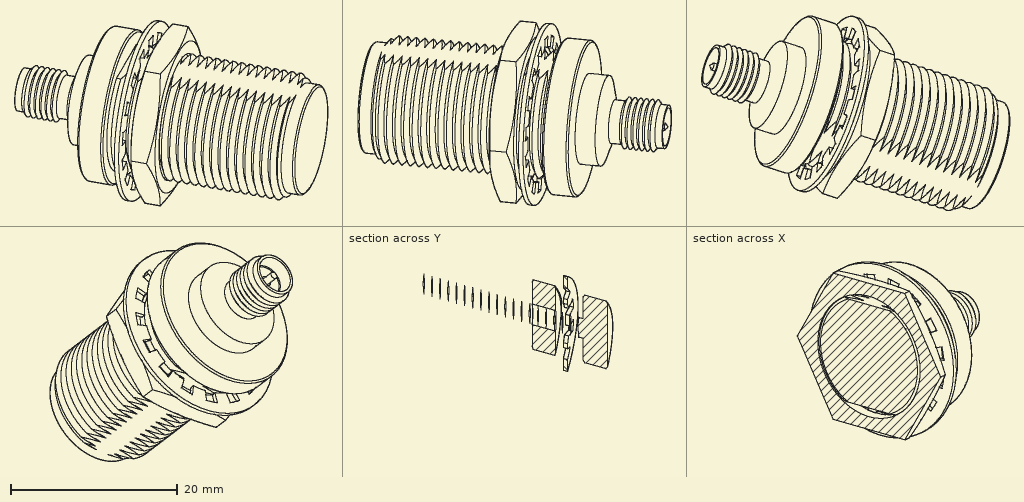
import cadquery as cq
import math

TOTAL_LENGTH = 36.8

SHELL_START = 0.15
SHELL_RADIUS = 2.65
SMALL_CREST_RADIUS = 3.15
SMALL_THREAD_START = 1.03
SMALL_FIRST_CREST = 1.5
SMALL_PITCH = 0.71
SMALL_THREAD_TURNS = 6
BORE_MOUTH_RADIUS = 2.3
BORE_END_RADIUS = 2.02
FLOOR_RADIUS = 1.9
BORE_DEPTH = 1.75
SOCKET_FLOOR = SHELL_START + BORE_DEPTH
PIN_RADIUS = 0.45
PIN_TIP_LENGTH = 0.35
PIN_CLEARANCE_RADIUS = 0.645
PIN_CLEARANCE_DEPTH = 0.75

CONE_START = 6.77
CONE_END = 7.75
SHOULDER_RADIUS = 5.5
FLANGE_START = 10.23
FLANGE_END = 13.45
FLANGE_RADIUS = 9.5
EDGE_CHAMFER = 0.22

CREST_RADIUS = 7.75
ROOT_RADIUS = 6.85
PITCH = 1.055
COLLAR_END = 14.0
GROOVES = 20
TIP_START = 35.15
TIP_RADIUS = 6.753
FLAT_HEIGHT = 6.7

WASHER_START = 15.42
WASHER_THICKNESS = 0.55
WASHER_RADIUS = 11.0
WASHER_SLOT_RADIUS = 9.6
WASHER_TOOTH_RADIUS = 8.25
WASHER_TEETH = 16
WASHER_SLOT_ANGLE = 10.0

NUT_START = 16.95
NUT_THICKNESS = 3.05
NUT_ACROSS_FLATS = 19.0
NUT_SIDES = 6
NUT_CHAMFER_LENGTH = 0.55
NUT_FACE_RADIUS = 9.3


def revolve_about_x(points):
    profile = cq.Workplane("XY").polyline(points).close()
    return profile.revolve(360, (0, 0, 0), (1, 0, 0))


def disc(start, length, radius):
    return cq.Workplane("YZ", origin=(start, 0, 0)).circle(radius).extrude(length)


def small_thread_points():
    points = [(SMALL_THREAD_START, SHELL_RADIUS)]
    for turn in range(SMALL_THREAD_TURNS):
        crest_x = SMALL_FIRST_CREST + turn * SMALL_PITCH
        points.append((crest_x, SMALL_CREST_RADIUS))
        points.append((crest_x + SMALL_PITCH / 2, SHELL_RADIUS))
    return points


def main_thread_points():
    points = [(COLLAR_END, CREST_RADIUS)]
    for groove in range(GROOVES):
        crest_x = COLLAR_END + groove * PITCH
        points.append((crest_x + PITCH / 2, ROOT_RADIUS))
        if groove < GROOVES - 1:
            points.append((crest_x + PITCH, CREST_RADIUS))
    slope = (CREST_RADIUS - ROOT_RADIUS) / (PITCH / 2)
    last_root_x = points[-1][0]
    rise = (TIP_START - last_root_x + (TIP_RADIUS - ROOT_RADIUS) / slope) / 2
    points.append((last_root_x + rise, ROOT_RADIUS + rise * slope))
    return points


def make_turned_body():
    outline = [(SHELL_START, 0), (SHELL_START, SHELL_RADIUS)]
    outline += small_thread_points()
    outline += [
        (CONE_START, SHELL_RADIUS),
        (CONE_END, SHOULDER_RADIUS),
        (FLANGE_START, SHOULDER_RADIUS),
        (FLANGE_START, FLANGE_RADIUS - EDGE_CHAMFER),
        (FLANGE_START + EDGE_CHAMFER, FLANGE_RADIUS),
        (FLANGE_END - EDGE_CHAMFER, FLANGE_RADIUS),
        (FLANGE_END, FLANGE_RADIUS - EDGE_CHAMFER),
        (FLANGE_END, CREST_RADIUS),
    ]
    outline += main_thread_points()
    outline += [
        (TIP_START, TIP_RADIUS),
        (TOTAL_LENGTH - EDGE_CHAMFER, TIP_RADIUS),
        (TOTAL_LENGTH, TIP_RADIUS - EDGE_CHAMFER),
        (TOTAL_LENGTH, 0),
    ]
    return revolve_about_x(outline)


def cut_flats(body):
    barrel_length = TOTAL_LENGTH - FLANGE_END
    cutter_height = CREST_RADIUS - FLAT_HEIGHT
    cutter = cq.Workplane("XY").box(barrel_length, 2 * CREST_RADIUS, cutter_height)
    centre_x = FLANGE_END + barrel_length / 2
    centre_z = FLAT_HEIGHT + cutter_height / 2
    for side in (-1, 1):
        body = body.cut(cutter.translate((centre_x, 0, side * centre_z)))
    return body


def cut_socket(body):
    socket = revolve_about_x([
        (SHELL_START, 0),
        (SHELL_START, BORE_MOUTH_RADIUS),
        (SOCKET_FLOOR - (BORE_END_RADIUS - FLOOR_RADIUS), BORE_END_RADIUS),
        (SOCKET_FLOOR, FLOOR_RADIUS),
        (SOCKET_FLOOR, 0),
    ])
    clearance = disc(SOCKET_FLOOR, PIN_CLEARANCE_DEPTH, PIN_CLEARANCE_RADIUS)
    return body.cut(socket).cut(clearance)


def make_pin():
    pin_end = SOCKET_FLOOR + PIN_CLEARANCE_DEPTH
    return revolve_about_x([
        (0, 0),
        (PIN_TIP_LENGTH, PIN_RADIUS),
        (pin_end, PIN_RADIUS),
        (pin_end, 0),
    ])


def make_housing():
    body = cut_socket(cut_flats(make_turned_body()))
    return body.union(make_pin())


def make_washer():
    washer = disc(WASHER_START, WASHER_THICKNESS, WASHER_RADIUS)
    washer = washer.cut(disc(WASHER_START, WASHER_THICKNESS, WASHER_TOOTH_RADIUS))
    half_angle = math.radians(WASHER_SLOT_ANGLE / 2)
    edge_y = WASHER_SLOT_RADIUS * math.cos(half_angle)
    edge_z = WASHER_SLOT_RADIUS * math.sin(half_angle)
    slot = (
        cq.Workplane("YZ", origin=(WASHER_START, 0, 0))
        .lineTo(edge_y, -edge_z)
        .threePointArc((WASHER_SLOT_RADIUS, 0), (edge_y, edge_z))
        .close()
        .extrude(WASHER_THICKNESS)
    )
    spacing = 360 / WASHER_TEETH
    for index in range(WASHER_TEETH):
        washer = washer.cut(slot.rotate((0, 0, 0), (1, 0, 0), (index + 0.5) * spacing))
    return washer


def make_nut():
    corner_radius = NUT_ACROSS_FLATS / 2 / math.cos(math.pi / NUT_SIDES)
    nut_end = NUT_START + NUT_THICKNESS
    section = cq.Workplane("YZ", origin=(NUT_START, 0, 0)).polygon(NUT_SIDES, 2 * corner_radius)
    nut = section.extrude(NUT_THICKNESS)
    envelope = revolve_about_x([
        (NUT_START, 0),
        (NUT_START, NUT_FACE_RADIUS),
        (NUT_START + NUT_CHAMFER_LENGTH, corner_radius),
        (nut_end - NUT_CHAMFER_LENGTH, corner_radius),
        (nut_end, NUT_FACE_RADIUS),
        (nut_end, 0),
    ])
    return nut.intersect(envelope).cut(disc(NUT_START, NUT_THICKNESS, CREST_RADIUS))


housing = make_housing()
washer = make_washer()
nut = make_nut()
result = cq.Compound.makeCompound([housing.val(), washer.val(), nut.val()])